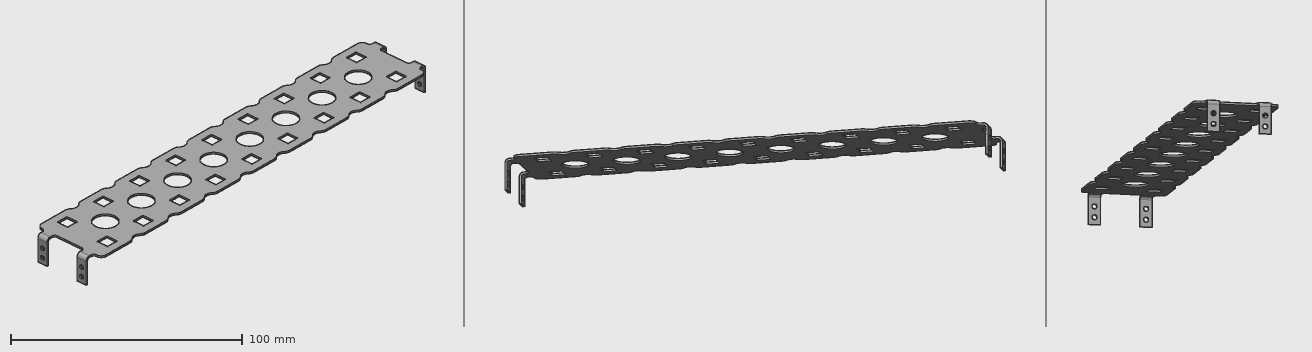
import cadquery as cq
import math


length = 217.0
width = 38.0
height = 14.0

thickness = 1.0
bend_inner_radius = 1.0
bend_outer_radius = bend_inner_radius + thickness

row_count = 9
row_span = 184.7
row_pitch = row_span / (row_count - 1)
column_pitch = 23.5
square_side = 6.0
round_diameter = 12.0

plate_length = 207.5
corner_radius = 2.8
notch_depth = 2.0
notch_half_length = 5.0
notch_floor_radius = 3.7

tab_width = 5.5
tab_spacing = 23.0
tab_outer_root_radius = 1.7
tab_inner_root_radius = 1.5
root_search_size = 0.5
tab_hole_diameter = 2.2
tab_hole_depths = (6.0, 10.8)

square_rows = [(i - (row_count - 1) / 2) * row_pitch for i in range(row_count)]
round_rows = [y + row_pitch / 2 for y in square_rows[:-1]]
tab_centers = (-tab_spacing / 2, tab_spacing / 2)

flank_radius_sum = (notch_half_length**2 + notch_depth**2) / (2 * notch_depth)
notch_shoulder_radius = flank_radius_sum - notch_floor_radius
flank_turn = 2 * math.atan2(notch_depth, notch_half_length)


def round_tab_root(sheet, x, y, radius):
    """Fillet the upright inside corner at (x, y), where a tab meets the plate end."""
    reach = root_search_size / 2
    corner = cq.selectors.BoxSelector((x - reach, y - reach, 0), (x + reach, y + reach, height))
    return sheet.edges(corner).edges("|Z").fillet(radius)


def make_tabbed_sheet():
    """Return the rounded plate with its four tabs bent down at the ends."""
    outer = (
        cq.Workplane("YZ")
        .rect(length, 2 * height)
        .extrude(width / 2, both=True)
        .edges("|X and >Z")
        .fillet(bend_outer_radius)
    )
    inner = (
        cq.Workplane("YZ")
        .rect(length - 2 * thickness, 2 * (height - thickness))
        .extrude(width / 2, both=True)
        .edges("|X and >Z")
        .fillet(bend_inner_radius)
    )
    above_floor = cq.Workplane("XY").box(width, length, height, centered=(True, True, False))
    channel = outer.cut(inner).intersect(above_floor)
    blank = cq.Workplane("XY").rect(width, plate_length).extrude(height)
    blank = blank.edges("|Z").fillet(corner_radius)
    for x in tab_centers:
        strip = cq.Workplane("XY").center(x, 0).rect(tab_width, length).extrude(height)
        blank = blank.union(strip)
    sheet = channel.intersect(blank)
    for side in (-1, 1):
        tab_outer_x = side * (tab_spacing + tab_width) / 2
        tab_inner_x = side * (tab_spacing - tab_width) / 2
        for y in (-plate_length / 2, plate_length / 2):
            sheet = round_tab_root(sheet, tab_outer_x, y, tab_outer_root_radius)
            sheet = round_tab_root(sheet, tab_inner_x, y, tab_inner_root_radius)
    return sheet


def make_side_notch(y, side):
    """Return the cutter for one smooth notch in the long edge on the given side (-1 or 1)."""

    def shoulder_point(turn, end):
        rise = notch_shoulder_radius * (1 - math.cos(turn))
        run = notch_shoulder_radius * math.sin(turn)
        return side * (width / 2 - rise), y + end * (notch_half_length - run)

    floor_x = side * (width / 2 - notch_depth)
    return (
        cq.Workplane("XY")
        .moveTo(*shoulder_point(0, -1))
        .threePointArc(shoulder_point(flank_turn / 2, -1), shoulder_point(flank_turn, -1))
        .threePointArc((floor_x, y), shoulder_point(flank_turn, 1))
        .threePointArc(shoulder_point(flank_turn / 2, 1), shoulder_point(0, 1))
        .close()
        .extrude(height)
    )


result = make_tabbed_sheet()
for row in round_rows:
    for side_sign in (-1, 1):
        result = result.cut(make_side_notch(row, side_sign))

square_points = [(x, y) for x in (-column_pitch / 2, column_pitch / 2) for y in square_rows]
squares = cq.Workplane("XY").pushPoints(square_points).rect(square_side, square_side).extrude(height)
result = result.cut(squares)

round_points = [(0, y) for y in round_rows]
result = result.cut(cq.Workplane("XY").pushPoints(round_points).circle(round_diameter / 2).extrude(height))

tab_hole_points = [(x, height - depth) for x in tab_centers for depth in tab_hole_depths]
tab_holes = (
    cq.Workplane("XZ")
    .pushPoints(tab_hole_points)
    .circle(tab_hole_diameter / 2)
    .extrude(length, both=True)
)
result = result.cut(tab_holes)